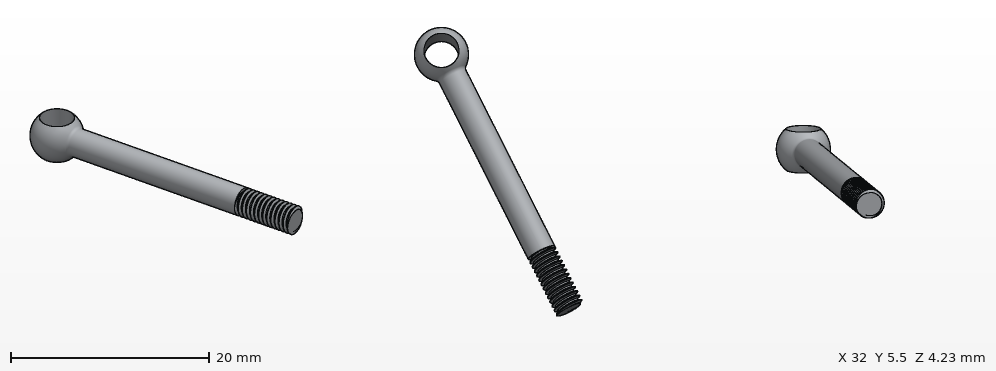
import cadquery as cq
import math

total_length = 32.0
eye_height = 4.23
hole_diameter = 3.52
shank_diameter = 3.0
neck_fillet = 0.5

thread_length = 6.5
thread_pitch = 0.5
thread_depth = 0.307
crest_width = 0.05
root_width = 0.32
end_to_crest = 0.175
root_overlap = 0.03

hole_radius = hole_diameter / 2
ball_radius = math.hypot(eye_height / 2, hole_radius)
shank_radius = shank_diameter / 2
core_radius = shank_radius - thread_depth
end_x = total_length - ball_radius
thread_start_x = end_x - thread_length

neck_center_z = shank_radius + neck_fillet
neck_center_distance = ball_radius + neck_fillet
neck_center_x = math.sqrt(neck_center_distance**2 - neck_center_z**2)
ball_fraction = ball_radius / neck_center_distance
neck_on_ball = (neck_center_x * ball_fraction, neck_center_z * ball_fraction)
neck_on_shank = (neck_center_x, shank_radius)


def make_body():
    """Ball, neck and plain shank turned about the X axis."""
    return (
        cq.Workplane("XZ")
        .moveTo(-ball_radius, 0)
        .threePointArc((0, ball_radius), neck_on_ball)
        .radiusArc(neck_on_shank, -neck_fillet)
        .lineTo(thread_start_x, shank_radius)
        .lineTo(thread_start_x, 0)
        .close()
        .revolve(360, (0, 0, 0), (1, 0, 0))
    )


def make_threaded_end():
    """Core with a right-hand helical ridge, trimmed between the shank shoulder and the end face."""
    turns = math.ceil(thread_length / thread_pitch) + 2
    last_crest_x = end_x - end_to_crest + thread_pitch
    first_crest_x = last_crest_x - turns * thread_pitch
    inner_radius = core_radius - root_overlap
    flank_run = (root_width - crest_width) / 2
    half_base = root_width / 2 + root_overlap * flank_run / thread_depth
    half_crest = crest_width / 2

    helix = cq.Wire.makeHelix(thread_pitch, turns * thread_pitch, core_radius)
    ridge = (
        cq.Workplane("XZ")
        .moveTo(inner_radius, -half_base)
        .lineTo(shank_radius, -half_crest)
        .lineTo(shank_radius, half_crest)
        .lineTo(inner_radius, half_base)
        .close()
        .sweep(cq.Workplane(obj=helix), isFrenet=True)
        .rotate((0, 0, 0), (0, 0, 1), 180)
        .rotate((0, 0, 0), (0, 1, 0), 90)
        .translate((first_crest_x, 0, 0))
    )
    core = (
        cq.Workplane("YZ")
        .workplane(offset=thread_start_x - shank_radius)
        .circle(core_radius)
        .extrude(thread_length + shank_diameter)
    )
    envelope = (
        cq.Workplane("YZ")
        .workplane(offset=thread_start_x)
        .rect(2 * shank_diameter, 2 * shank_diameter)
        .extrude(thread_length)
    )
    return core.union(ridge).intersect(envelope)


def make_eye_hole():
    """Vertical through hole in the ball."""
    return cq.Workplane("XY").circle(hole_radius).extrude(ball_radius, both=True)


result = make_body().union(make_threaded_end()).cut(make_eye_hole())